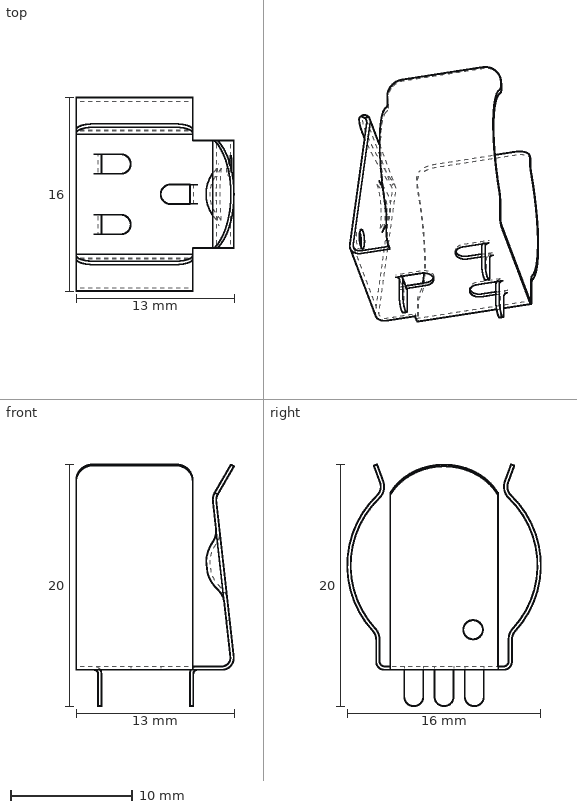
import cadquery as cq
import math

sheet = 0.3

clip_length = 9.62
base_half_width = 5.6
base_bend_radius = 0.7
grip_diameter = 15.98
grip_radius = grip_diameter / 2
grip_centre_z = 8.62
throat_half_width = 5.23
arm_bend_radius = 1.0
flange_angle = 20.0
flange_length = 1.5
flange_corner_radius = 1.4

spring_width = 8.9
spring_reach = 13.0
spring_bend_radius = 1.0
spring_lean = 6.4
lean_length = 12.89
flare_bend_radius = 0.9
flare_angle = 30.0
flare_length = 2.67
flare_tip_radius = 4.99

dimple_height_up = 7.58
dimple_radius = 3.0
dimple_edge_radius = 1.5
dimple_crown_radius = 3.0
dimple_flat_radius = 0.5
hole_diameter = 1.6
hole_height_up = 2.23
hole_y = 2.4

tab_width = 1.6
tab_slot_length = 3.0
tab_drop = 3.0
rear_tab_x = 1.5
rear_tab_y = 2.5
front_tab_x = 9.98


class FoldedStrip:
    """Side profile of a folded sheet. Follows one face; the other face lies on its left."""

    def __init__(self, plane, start):
        self.plane = plane
        self.position = start
        self.heading = 0.0
        self.moves = []

    def shifted(self, point, distance, angle):
        turn = math.radians(angle)
        return (point[0] + distance * math.cos(turn), point[1] + distance * math.sin(turn))

    def both_faces(self):
        return self.position, self.shifted(self.position, sheet, self.heading + 90)

    def straight(self, length):
        begin = self.both_faces()
        self.position = self.shifted(self.position, length, self.heading)
        self.moves.append((begin, None, self.both_faces()))
        return self

    def half_bend(self, radius, angle):
        side = math.copysign(90, angle)
        centre = self.shifted(self.position, radius, self.heading + side)
        self.heading += angle / 2
        self.position = self.shifted(centre, radius, self.heading - side)

    def bend(self, radius, angle):
        """Turn by angle degrees, left if positive; radius is that of the followed face."""
        begin = self.both_faces()
        self.half_bend(radius, angle)
        middle = self.both_faces()
        self.half_bend(radius, angle)
        self.moves.append((begin, middle, self.both_faces()))
        return self

    def extrude(self, length, both=False):
        first_point = self.moves[0][0][0]
        outline = cq.Workplane(self.plane).moveTo(*first_point)
        for begin, middle, end in self.moves:
            outline = outline.threePointArc(middle[0], end[0]) if middle else outline.lineTo(*end[0])
        outline = outline.lineTo(*self.both_faces()[1])
        for begin, middle, end in reversed(self.moves):
            outline = outline.threePointArc(middle[1], begin[1]) if middle else outline.lineTo(*begin[1])
        return outline.close().extrude(length, both=both)


def half_clip():
    """Half of the base with the arm on the +Y side."""
    bend_distance = grip_radius + arm_bend_radius
    lower_angle = math.degrees(math.acos((base_half_width + arm_bend_radius) / bend_distance))
    upper_angle = math.degrees(math.acos((throat_half_width + arm_bend_radius) / bend_distance))
    wall_top_z = grip_centre_z - bend_distance * math.sin(math.radians(lower_angle))

    strip = FoldedStrip("YZ", (0, 0))
    strip.straight(base_half_width - base_bend_radius)
    strip.bend(base_bend_radius, 90)
    strip.straight(wall_top_z - base_bend_radius)
    strip.bend(arm_bend_radius, -lower_angle)
    strip.bend(grip_radius, lower_angle + upper_angle)
    strip.bend(arm_bend_radius, -upper_angle - flange_angle)
    strip.straight(flange_length)
    arm = strip.extrude(clip_length)
    return arm.faces(">Z").edges("not |X").fillet(flange_corner_radius)


def dimple():
    """Domed shell around local Z, rising from a sheet whose front face is at local Z = 0."""
    joint_radius = dimple_radius * dimple_crown_radius / (dimple_crown_radius + dimple_edge_radius)
    joint_angle = math.asin(joint_radius / dimple_crown_radius)
    flat_angle = math.asin(dimple_flat_radius / dimple_crown_radius)
    crown_centre = dimple_edge_radius - (dimple_crown_radius + dimple_edge_radius) * math.cos(joint_angle)

    def crown_point(angle, depth):
        radius = dimple_crown_radius - depth
        return (radius * math.sin(angle), crown_centre + radius * math.cos(angle))

    def edge_point(angle, depth):
        radius = dimple_edge_radius + depth
        return (dimple_radius - radius * math.sin(angle), dimple_edge_radius - radius * math.cos(angle))

    crown_middle = (flat_angle + joint_angle) / 2
    front_flat = crown_point(flat_angle, 0)
    back_flat = crown_point(flat_angle, sheet)
    profile = (
        cq.Workplane("XZ")
        .moveTo(0, back_flat[1])
        .lineTo(0, front_flat[1])
        .lineTo(*front_flat)
        .threePointArc(crown_point(crown_middle, 0), crown_point(joint_angle, 0))
        .threePointArc(edge_point(joint_angle / 2, 0), edge_point(0, 0))
        .lineTo(*edge_point(0, sheet))
        .threePointArc(edge_point(joint_angle / 2, sheet), edge_point(joint_angle, sheet))
        .threePointArc(crown_point(crown_middle, sheet), back_flat)
        .close()
    )
    return profile.revolve(360, (0, 0, 0), (0, 1, 0)).val()


def face_plane(strip):
    """Plane on the left face at the strip's end: local Y runs up the strip, local X along -Y."""
    x, z = strip.both_faces()[1]
    turn = math.radians(strip.heading + 90)
    return cq.Plane(origin=(x, 0, z), xDir=(0, -1, 0), normal=(math.cos(turn), 0, math.sin(turn)))


def contact_spring():
    strip = FoldedStrip("XZ", (clip_length, 0))
    strip.straight(spring_reach - spring_bend_radius - clip_length)
    strip.bend(spring_bend_radius, 90 + spring_lean)
    lean_face = face_plane(strip)
    strip.straight(lean_length)
    strip.bend(flare_bend_radius, -spring_lean - flare_angle)
    flare_face = face_plane(strip)
    spring = strip.extrude(spring_width / 2, both=True)

    flare_blank = (
        cq.Workplane(flare_face)
        .center(0, flare_length / 2)
        .rect(spring_width, flare_length)
        .extrude(-sheet)
    )
    tip_disc = (
        cq.Workplane(flare_face)
        .center(0, flare_length - flare_tip_radius)
        .circle(flare_tip_radius)
        .extrude(-sheet)
    )
    spring = spring.union(flare_blank.intersect(tip_disc))

    lean_work = cq.Workplane(lean_face)
    spring = spring.cut(lean_work.center(0, dimple_height_up).circle(dimple_radius).extrude(-sheet))
    dimple_location = cq.Location(lean_face) * cq.Location(cq.Vector(0, dimple_height_up, 0))
    spring = spring.union(cq.Workplane(dimple().moved(dimple_location)))
    hole = cq.Workplane(lean_face).center(-hole_y, hole_height_up).circle(hole_diameter / 2)
    return spring.cut(hole.extrude(-sheet))


def tab_slot():
    """Cutter for a slot from X = 0 to its round end on the +X side."""
    straight_length = tab_slot_length - tab_width / 2
    return (
        cq.Workplane("XY")
        .moveTo(0, -tab_width / 2)
        .lineTo(straight_length, -tab_width / 2)
        .threePointArc((tab_slot_length, 0), (straight_length, tab_width / 2))
        .lineTo(0, tab_width / 2)
        .close()
        .extrude(sheet)
    )


def solder_tab():
    """Tab folded down from X = 0, with a round tip."""
    tip_radius = tab_width / 2
    strip = FoldedStrip("XZ", (0, 0))
    strip.bend(sheet, -90)
    strip.straight(tab_drop - sheet - tip_radius)
    tab = strip.extrude(tab_width / 2, both=True)
    tip = cq.Workplane("YZ", origin=(sheet, 0, 0)).center(0, tip_radius - tab_drop).circle(tip_radius)
    return tab.union(tip.extrude(sheet))


arm_half = half_clip()
clip = arm_half.union(arm_half.mirror("XZ")).union(contact_spring())

rear_tabs = [(rear_tab_x, rear_tab_y, 0), (rear_tab_x, -rear_tab_y, 0)]
slot = tab_slot()
tab = solder_tab()
for place in rear_tabs:
    clip = clip.cut(slot.translate(place)).union(tab.translate(place))

front_place = (front_tab_x, 0, 0)
clip = clip.cut(slot.mirror("YZ").translate(front_place))
result = clip.union(tab.mirror("YZ").translate(front_place))